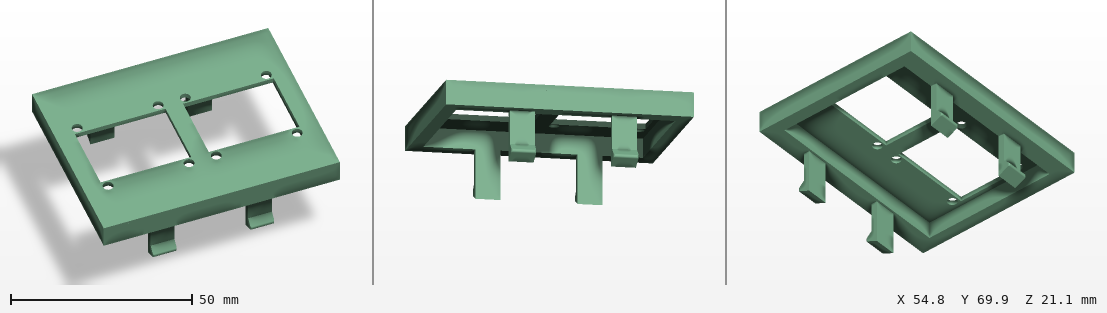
import cadquery as cq

width = 54.8
length = 69.9

flange_thickness = 0.8
ring_thickness = 0.8
frame_height = 5.45

ring_top = frame_height + ring_thickness
plate_thickness = flange_thickness + ring_thickness

window_width = 19.7
window_length = 26.85
window_center_x = 0.9
window_pitch = 32.0
window_centers = [(window_center_x, side * window_pitch / 2) for side in (-1, 1)]

hole_diameter = 3.0
hole_spacing_x = 23.6
hole_spacing_y = 24.0

clip_length = 14.05
clip_thickness = 1.9
clip_width = 7.05
clip_inner_span = 44.1
clip_center_x = -0.35
clip_centers_y = (12.8, -16.1)
barb_reach = 2.0
barb_start = 9.5
barb_tip_top = 11.45
barb_tip_bottom = 12.2
barb_tip_fillet = 0.5

end_wall = 4.0
opening_width = clip_inner_span + 2 * clip_center_x
opening_length = length - 2 * end_wall


def make_plate():
    """Flat cover whose lower half steps in to fill the ring, with two windows and their screw holes."""
    cover = cq.Workplane("XY", origin=(0, 0, ring_top)).rect(width, length).extrude(flange_thickness)
    plug = (
        cq.Workplane("XY", origin=(0, 0, frame_height))
        .rect(opening_width, opening_length)
        .extrude(ring_thickness)
    )
    plate = cover.union(plug)
    for center_x, center_y in window_centers:
        base = cq.Workplane("XY", origin=(center_x, center_y, frame_height))
        window = base.rect(window_width, window_length).extrude(plate_thickness)
        holes = (
            base.rect(hole_spacing_x, hole_spacing_y, forConstruction=True)
            .vertices()
            .circle(hole_diameter / 2)
            .extrude(plate_thickness)
        )
        plate = plate.cut(window).cut(holes)
    return plate


def make_open_rectangle(bottom, height):
    """Rectangular band with the outer size of the part and the common opening inside."""
    return (
        cq.Workplane("XY", origin=(0, 0, bottom))
        .rect(width, length)
        .rect(opening_width, opening_length)
        .extrude(height)
    )


def make_clip(side, center_y):
    """Snap clip with its barb facing outward; side is -1 for -X and 1 for +X."""
    inner_x = clip_inner_span / 2
    outer_x = inner_x + clip_thickness
    tip_x = outer_x + barb_reach
    profile = [
        (inner_x, 0),
        (outer_x, 0),
        (outer_x, -barb_start),
        (tip_x, -barb_tip_top),
        (tip_x, -barb_tip_bottom),
        (inner_x, -clip_length),
    ]
    clip = cq.Workplane("XZ").polyline(profile).close().extrude(clip_width / 2, both=True)
    clip = clip.faces(">X").edges().fillet(barb_tip_fillet)
    if side < 0:
        clip = clip.mirror("YZ")
    return clip.translate((clip_center_x, center_y, 0))


plate = make_plate()
ring = make_open_rectangle(frame_height, ring_thickness)
frame = make_open_rectangle(0, frame_height)
clips = [make_clip(side, center_y) for side in (-1, 1) for center_y in clip_centers_y]

result = cq.Compound.makeCompound(
    [plate.val(), ring.val(), frame.val(), *[clip.val() for clip in clips]]
)